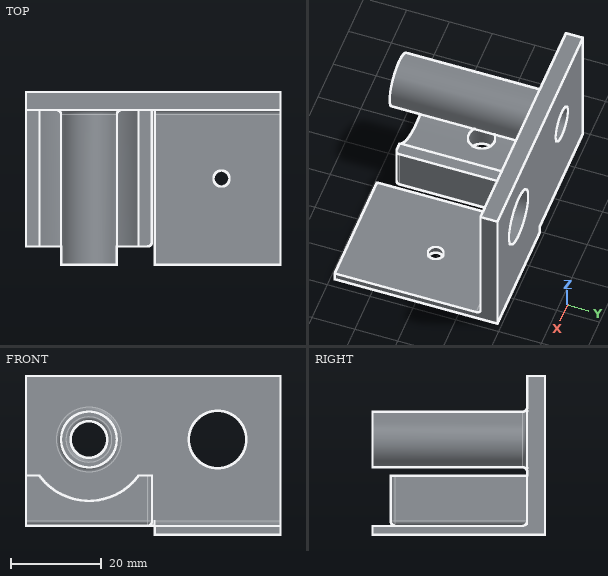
import cadquery as cq

width = 56.0
plate_thickness = 4.0
plate_height = 33.0
edge_radius = 1.0

foot_depth = 38.0
foot_thickness = 2.0
foot_left = 28.3
foot_hole_diameter = 3.5
foot_hole_x = 43.0

block_width = 27.7
block_height = 11.05
block_depth = 34.0
trough_diameter = 27.0
screw_hole_diameter = 6.0
screw_hole_x = 13.0
screw_hole_y = -19.05

axis_z = plate_height - 14.0
tube_x = block_width / 2
tube_length = foot_depth
tube_diameter = 12.25
bore_diameter = 8.0
plate_hole_diameter = 12.6
plate_hole_x = (foot_left + width) / 2


def box(x_start, x_end, depth, z_start, z_end):
    """Box whose rear face lies on Y = 0."""
    size = (x_end - x_start, depth, z_end - z_start)
    return cq.Workplane("XY").box(*size, centered=False).translate((x_start, -depth, z_start))


def rod_along_y(x, diameter, y_rear, y_front):
    """Cylinder on the common axis height, running from y_rear toward -Y."""
    plane = cq.Workplane("XZ", origin=(x, y_rear, axis_z))
    return plane.circle(diameter / 2).extrude(y_rear - y_front)


def hole_along_z(x, y, diameter, z_start, z_end):
    """Cylinder for cutting a vertical hole."""
    plane = cq.Workplane("XY", origin=(x, y, z_start))
    return plane.circle(diameter / 2).extrude(z_end - z_start)


def make_block():
    block = box(0, block_width, block_depth, 0, block_height)
    corner_edges = block.edges("(<Y and <Z) or (>X and <Y) or (>X and <Z)")
    block = corner_edges.fillet(edge_radius)
    trough = rod_along_y(tube_x, trough_diameter, -plate_thickness, -block_depth)
    screw_hole = hole_along_z(screw_hole_x, screw_hole_y, screw_hole_diameter, 0, block_height)
    return block.cut(trough).cut(screw_hole)


def make_plate_and_foot():
    """L-shaped bracket with a rounded inner corner."""
    plate = box(0, width, plate_thickness, 0, plate_height)
    foot = box(foot_left, width, foot_depth, -foot_thickness, 0)
    foot_hole = hole_along_z(foot_hole_x, screw_hole_y, foot_hole_diameter, -foot_thickness, 0)
    inner_fillet = (
        cq.Workplane("YZ", origin=(foot_left, 0, 0))
        .moveTo(-plate_thickness, 0)
        .lineTo(-plate_thickness - edge_radius, 0)
        .radiusArc((-plate_thickness, edge_radius), -edge_radius)
        .close()
        .extrude(width - foot_left)
    )
    plate_hole = rod_along_y(plate_hole_x, plate_hole_diameter, 0, -plate_thickness)
    return plate.union(foot).union(inner_fillet).cut(foot_hole).cut(plate_hole)


def make_tube():
    """Turned tube: flared at the plate, with a rounded bore mouth."""
    outer = tube_diameter / 2
    inner = bore_diameter / 2
    flare_end = plate_thickness + edge_radius
    profile = (
        cq.Workplane("XY")
        .moveTo(inner, 0)
        .lineTo(outer + edge_radius, 0)
        .lineTo(outer + edge_radius, -plate_thickness)
        .radiusArc((outer, -flare_end), -edge_radius)
        .lineTo(outer, -tube_length)
        .lineTo(inner + edge_radius, -tube_length)
        .radiusArc((inner, -tube_length + edge_radius), edge_radius)
        .close()
    )
    return profile.revolve(360, (0, 0, 0), (0, 1, 0)).translate((tube_x, 0, axis_z))


bracket = make_plate_and_foot().union(make_block())
bore = rod_along_y(tube_x, bore_diameter, 0, -plate_thickness)
result = bracket.cut(bore).union(make_tube())